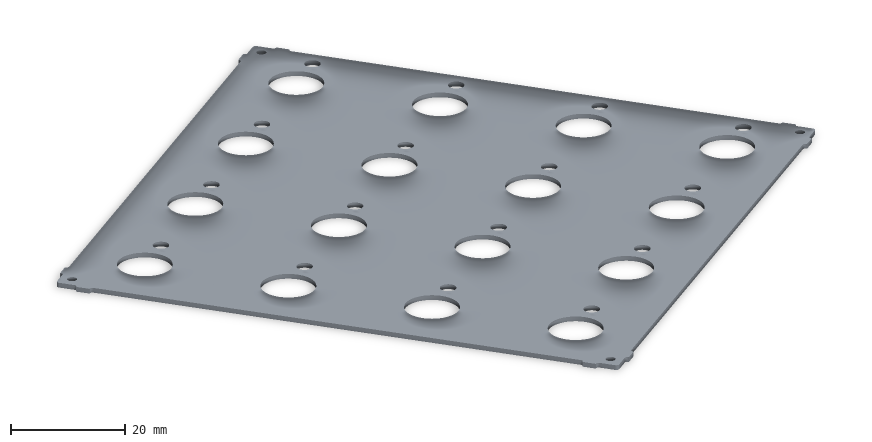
import cadquery as cq
import math

PLATE_SIZE = 104.4
THICKNESS = 0.91
CORNER_RADIUS = 0.6

OVERALL_SIZE = 105.6
SIDE_COUNT = 4
TAB_WIDTH = 2.5
TAB_ROOT_RADIUS = 0.5
TAB_OFFSET = 47.0

GRID_COUNT = 4
GRID_SPAN = 80.0
GRID_PITCH = GRID_SPAN / (GRID_COUNT - 1)
LARGE_HOLE_DIAMETER = 9.8
SMALL_HOLE_DIAMETER = 2.9
SMALL_HOLE_OFFSET_Y = 8.5

CORNER_HOLE_DIAMETER = 1.75
CORNER_HOLE_SPACING = 100.0


def make_plate():
    """Square plate with rounded corners, standing on the XY plane."""
    plate = cq.Workplane("XY").rect(PLATE_SIZE, PLATE_SIZE).extrude(THICKNESS)
    return plate.edges("|Z").fillet(CORNER_RADIUS)


def make_tab(offset):
    """Tab on the +Y side, centred at X = offset, with a concave fillet at the root of each flank."""
    plate_edge = PLATE_SIZE / 2
    tip = OVERALL_SIZE / 2
    left = offset - TAB_WIDTH / 2
    right = offset + TAB_WIDTH / 2
    fillet_top = plate_edge + TAB_ROOT_RADIUS
    arc_inset = TAB_ROOT_RADIUS * (1 - math.sqrt(0.5))
    return (
        cq.Workplane("XY")
        .moveTo(left - TAB_ROOT_RADIUS, plate_edge)
        .threePointArc((left - arc_inset, plate_edge + arc_inset), (left, fillet_top))
        .lineTo(left, tip)
        .lineTo(right, tip)
        .lineTo(right, fillet_top)
        .threePointArc((right + arc_inset, plate_edge + arc_inset), (right + TAB_ROOT_RADIUS, plate_edge))
        .close()
        .extrude(THICKNESS)
    )


def add_edge_tabs(plate):
    """Two tabs on each of the four sides."""
    for side in range(SIDE_COUNT):
        for offset in (-TAB_OFFSET, TAB_OFFSET):
            tab = make_tab(offset).rotate((0, 0, 0), (0, 0, 1), side * 360 / SIDE_COUNT)
            plate = plate.union(tab)
    return plate


def cut_hole_grid(plate, diameter, offset_y):
    """Square grid of through holes, shifted along Y from the plate centre."""
    holes = (
        cq.Workplane("XY")
        .center(0, offset_y)
        .rarray(GRID_PITCH, GRID_PITCH, GRID_COUNT, GRID_COUNT)
        .circle(diameter / 2)
        .extrude(THICKNESS)
    )
    return plate.cut(holes)


def cut_corner_holes(plate):
    """One through hole near each corner of the plate."""
    holes = (
        cq.Workplane("XY")
        .rect(CORNER_HOLE_SPACING, CORNER_HOLE_SPACING, forConstruction=True)
        .vertices()
        .circle(CORNER_HOLE_DIAMETER / 2)
        .extrude(THICKNESS)
    )
    return plate.cut(holes)


part = add_edge_tabs(make_plate())
part = cut_hole_grid(part, LARGE_HOLE_DIAMETER, 0)
part = cut_hole_grid(part, SMALL_HOLE_DIAMETER, SMALL_HOLE_OFFSET_Y)
result = cut_corner_holes(part)